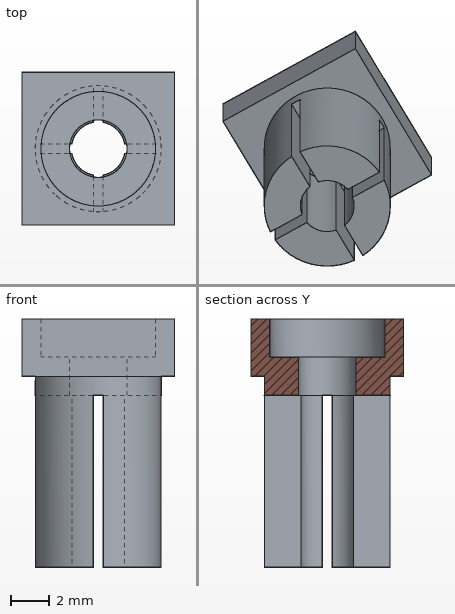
import cadquery as cq

head_width = 8.0
head_height = 3.0
pocket_diameter = 6.0
pocket_depth = 2.0

stem_diameter = 6.6
stem_length = 10.0
slot_width = 0.5
slot_length = 9.0

bore_diameter = 3.0
finger_bore_diameter = 2.8

total_height = stem_length + head_height
pocket_floor = total_height - pocket_depth


def cylinder(diameter, bottom, top):
    """Cylinder on the Z axis between two heights."""
    return cq.Workplane("XY").workplane(offset=bottom).circle(diameter / 2).extrude(top - bottom)


def make_body():
    """Square head on top of a round stem."""
    head = (
        cq.Workplane("XY")
        .workplane(offset=stem_length)
        .rect(head_width, head_width)
        .extrude(head_height)
    )
    return head.union(cylinder(stem_diameter, 0, stem_length))


def cut_stepped_bore(body):
    """Pocket in the head, bore below it, narrower bore between the fingers."""
    pocket = cylinder(pocket_diameter, pocket_floor, total_height)
    bore = cylinder(bore_diameter, slot_length, pocket_floor)
    finger_bore = cylinder(finger_bore_diameter, 0, slot_length)
    return body.cut(pocket).cut(bore).cut(finger_bore)


def cut_slots(body):
    """Two crossed slots, open at the free end, split the stem into four fingers."""
    for length_x, length_y in ((stem_diameter, slot_width), (slot_width, stem_diameter)):
        slot = cq.Workplane("XY").rect(length_x, length_y).extrude(slot_length)
        body = body.cut(slot)
    return body


result = cut_slots(cut_stepped_bore(make_body()))